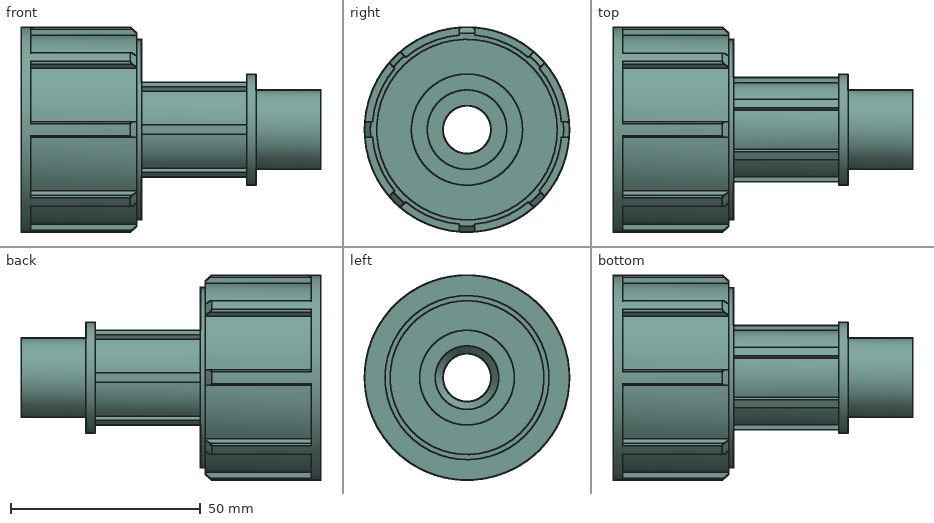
import cadquery as cq
import math

rim_end = 2.5
nut_end = 30.5
washer_end = 31.75
collar_start = 59.4
collar_end = 61.9
total_length = 79.0

rim_diameter = 54.0
nut_body_diameter = 49.9
washer_diameter = 47.55
collar_diameter = 29.3
shank_diameter = 25.0
spigot_diameter = 20.9

mouth_diameter = 43.2
mouth_depth = 1.35
cavity_diameter = 40.5
cavity_depth = 16.9

inlet_diameter = 16.75
outlet_diameter = 12.6
taper_length = 3.15
taper_end = collar_end
taper_start = taper_end - taper_length

grip_count = 8
grip_width = 4.1
grip_edge_chamfer = 0.5
grip_root_radius = 22.9
grip_end_length = 1.7
grip_end_drop = 1.6

shank_rib_count = 6
shank_rib_width = 2.5
shank_rib_diameter = 27.5

collar_edge_radius = 0.3


def cylinder(diameter, start, end):
    """Solid cylinder on the X axis between two positions."""
    return cq.Workplane("YZ", origin=(start, 0, 0)).circle(diameter / 2).extrude(end - start)


def around_axis(shape, count):
    """Union of equally spaced copies of a shape about the X axis."""
    copies = shape
    for index in range(1, count):
        copies = copies.union(shape.rotate((0, 0, 0), (1, 0, 0), index * 360 / count))
    return copies


def grip_rib():
    """One grip rib on +Y, flush with the rim, with bevelled long edges and a sloping end."""
    outer_radius = rim_diameter / 2
    half_width = grip_width / 2
    crest_half_width = half_width - grip_edge_chamfer
    crest_edge_height = math.sqrt(outer_radius**2 - crest_half_width**2)
    bevel_foot_height = crest_edge_height - grip_edge_chamfer
    rib = (
        cq.Workplane("YZ")
        .moveTo(grip_root_radius, -half_width)
        .lineTo(bevel_foot_height, -half_width)
        .lineTo(crest_edge_height, -crest_half_width)
        .threePointArc((outer_radius, 0), (crest_edge_height, crest_half_width))
        .lineTo(bevel_foot_height, half_width)
        .lineTo(grip_root_radius, half_width)
        .close()
        .extrude(nut_end)
    )
    envelope = (
        cq.Workplane("XY")
        .lineTo(0, outer_radius)
        .lineTo(nut_end - grip_end_length, outer_radius)
        .lineTo(nut_end, outer_radius - grip_end_drop)
        .lineTo(nut_end, 0)
        .close()
        .revolve(360, (0, 0, 0), (1, 0, 0))
    )
    return rib.intersect(envelope)


def nut():
    """Ribbed nut with a plain rim and a thin washer at its closed end."""
    rim = cylinder(rim_diameter, 0, rim_end)
    body = cylinder(nut_body_diameter, 0, nut_end)
    washer = cylinder(washer_diameter, 0, washer_end)
    solid = rim.union(body).union(washer).union(around_axis(grip_rib(), grip_count))
    mouth = cylinder(mouth_diameter, 0, mouth_depth)
    return solid.cut(mouth).cut(cylinder(cavity_diameter, 0, cavity_depth))


def tailpiece():
    """Inner tube, ribbed shank, rounded collar and spigot."""
    shank = cylinder(shank_diameter, 0, collar_end)
    collar = cylinder(collar_diameter, collar_start, collar_end).edges().fillet(collar_edge_radius)
    spigot = cylinder(spigot_diameter, collar_start, total_length)
    rib_length = collar_start - nut_end
    rib = cq.Workplane("XY").box(
        rib_length,
        shank_rib_diameter / 2,
        shank_rib_width,
        centered=(False, False, True),
    ).translate((nut_end, 0, 0))
    return shank.union(collar).union(spigot).union(around_axis(rib, shank_rib_count))


def bore():
    """Stepless bore that narrows through a short cone."""
    return (
        cq.Workplane("XY")
        .lineTo(0, inlet_diameter / 2)
        .lineTo(taper_start, inlet_diameter / 2)
        .lineTo(taper_end, outlet_diameter / 2)
        .lineTo(total_length, outlet_diameter / 2)
        .lineTo(total_length, 0)
        .close()
        .revolve(360, (0, 0, 0), (1, 0, 0))
    )


result = nut().union(tailpiece()).cut(bore())